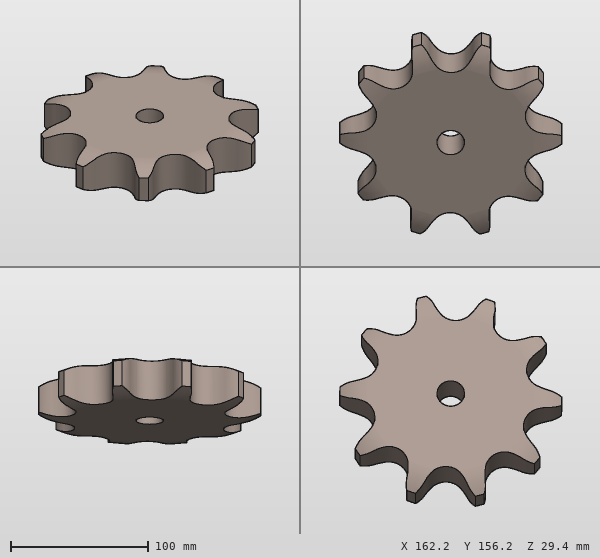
import cadquery as cq
import math


tooth_count = 10
pitch = 44.5
roller_diameter = 27.9
seat_clearance = 0.08
outside_radius = 81.1
thickness = 29.4
bore_diameter = 20.0
flat_face_radius = 60.9
relief_radius = 42.8

half_tooth_angle = math.pi / tooth_count
seat_angle = math.radians(35 + 60 / tooth_count)
working_angle = math.radians(18 - 56 / tooth_count)
pressure_angle = math.radians(17 - 64 / tooth_count)

pitch_radius = pitch / (2 * math.sin(half_tooth_angle))
seat_radius = (1.005 * roller_diameter + seat_clearance) / 2
working_offset = 0.8 * roller_diameter
working_radius = working_offset + seat_radius
topping_offset = 1.4 * roller_diameter
flank_flat = topping_offset * math.sin(pressure_angle) - working_offset * math.sin(working_angle)
topping_radius = (
    working_offset * math.cos(working_angle)
    + topping_offset * math.cos(pressure_angle)
    - working_radius
)


def shifted(point, distance, angle):
    """Point moved by a distance in the direction of an angle."""
    return (point[0] + distance * math.cos(angle), point[1] + distance * math.sin(angle))


def rotated(point, angle):
    """Point turned about the sprocket axis."""
    return shifted((0, 0), math.hypot(*point), math.atan2(point[1], point[0]) + angle)


def mirrored(point):
    """Point reflected to the other side of the gap center line, the X axis."""
    return (point[0], -point[1])


def flank_points():
    """Points of one tooth flank below a gap centered on +X, from the seating arc to the tooth point."""
    seat_center = (pitch_radius, 0)
    working_center = shifted(seat_center, working_offset, math.pi / 2 - seat_angle)

    seat_end_angle = -math.pi / 2 - seat_angle
    working_end_angle = seat_end_angle + working_angle
    working_middle_angle = (seat_end_angle + working_end_angle) / 2
    seat_end = shifted(working_center, working_radius, seat_end_angle)
    working_middle = shifted(working_center, working_radius, working_middle_angle)
    working_end = shifted(working_center, working_radius, working_end_angle)

    flat_end = shifted(working_end, flank_flat, working_end_angle + math.pi / 2)

    topping_center = shifted(flat_end, topping_radius, working_end_angle)
    topping_start_angle = working_end_angle + math.pi
    distance_to_tooth_line = -rotated(topping_center, half_tooth_angle)[1]
    tooth_line_normal = math.pi / 2 - half_tooth_angle
    topping_end_angle = tooth_line_normal - math.acos(distance_to_tooth_line / topping_radius)
    topping_middle_angle = (topping_start_angle + topping_end_angle) / 2
    topping_middle = shifted(topping_center, topping_radius, topping_middle_angle)
    tooth_point = shifted(topping_center, topping_radius, topping_end_angle)

    return [seat_end, working_middle, working_end, flat_end, topping_middle, tooth_point]


def pointed_gear():
    """Prism with all teeth running up to sharp points, before the outside is turned."""
    lower_flank = flank_points()
    upper_flank = [mirrored(point) for point in lower_flank]
    seat_bottom = (pitch_radius - seat_radius, 0)

    outline = cq.Workplane("XY").moveTo(*rotated(lower_flank[-1], half_tooth_angle))
    for gap in range(tooth_count):
        gap_angle = (2 * gap + 1) * half_tooth_angle
        low = [rotated(point, gap_angle) for point in lower_flank]
        high = [rotated(point, gap_angle) for point in upper_flank]
        seat_end, working_middle, working_end, flat_end, topping_middle, _ = low
        outline = outline.threePointArc(topping_middle, flat_end)
        outline = outline.lineTo(*working_end)
        outline = outline.threePointArc(working_middle, seat_end)

        outline = outline.threePointArc(rotated(seat_bottom, gap_angle), high[0])

        seat_end, working_middle, working_end, flat_end, topping_middle, tooth_point = high
        outline = outline.threePointArc(working_middle, working_end)
        outline = outline.lineTo(*flat_end)
        outline = outline.threePointArc(topping_middle, tooth_point)
    return outline.close().extrude(thickness / 2, both=True)


def turned_blank():
    """Disc with both faces curving inward toward the rim to relieve the tooth sides."""
    face_height = thickness / 2
    rim_run = outside_radius - flat_face_radius

    def relief_height(run):
        return face_height - relief_radius + math.sqrt(relief_radius**2 - run**2)

    rim_height = relief_height(rim_run)
    middle_radius = flat_face_radius + rim_run / 2
    middle_height = relief_height(rim_run / 2)
    return (
        cq.Workplane("XZ")
        .moveTo(0, -face_height)
        .lineTo(flat_face_radius, -face_height)
        .threePointArc((middle_radius, -middle_height), (outside_radius, -rim_height))
        .lineTo(outside_radius, rim_height)
        .threePointArc((middle_radius, middle_height), (flat_face_radius, face_height))
        .lineTo(0, face_height)
        .close()
        .revolve(360, (0, 0, 0), (0, 1, 0))
    )


bore = cq.Workplane("XY").circle(bore_diameter / 2).extrude(thickness, both=True)
result = pointed_gear().intersect(turned_blank()).cut(bore)